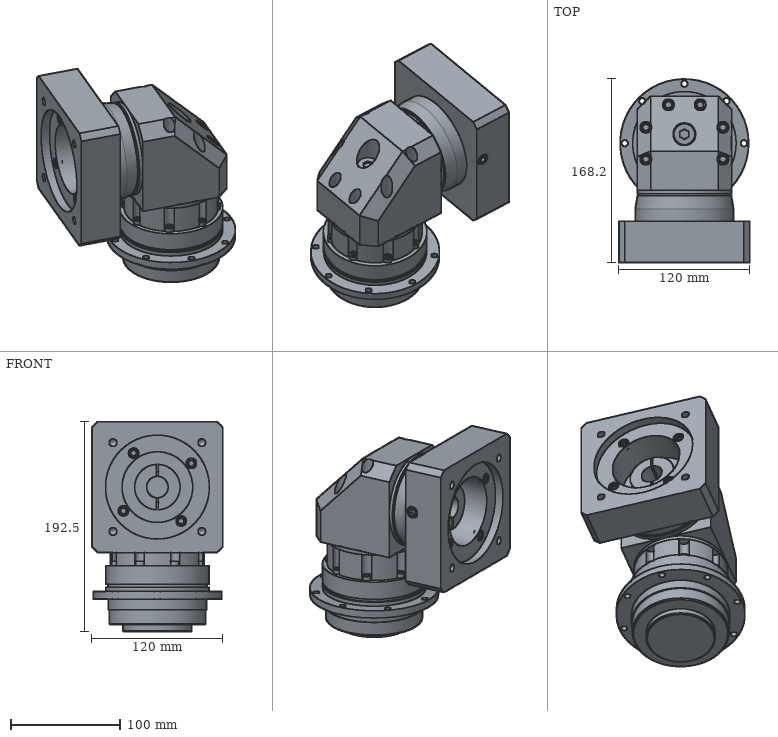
import cadquery as cq
import math


plate_width = 120.0
plate_thickness = 38.0
plate_back = 71.2
plate_corner_radius = 81.0
pilot_radius = 47.5
pilot_depth = 8.0
plate_bore_radius = 32.3
plate_front = plate_back + plate_thickness
pilot_floor = plate_front - pilot_depth

corner_hole_spacing = 81.2
corner_hole_diameter = 7.0
corner_hole_depth = 19.2
drill_point_angle = 118.0

plate_screw_circle = 38.0
plate_screw_angle = 35.0

access_plug_y = -78.3
access_plug_z = 14.2

collar_radius = 20.8
collar_length = 13.3
stem_radius = 14.0
stem_length = 15.4
hub_bore_radius = 9.8
hub_base = 3.8
slit_width = 2.0
slit_end_gap = 7.7

box_half = 43.1
barrel_radius = box_half
edge_chamfer = 12.1
bevel_size = 50.5
box_screw_circle = 38.1
box_screw_pitch = 45.0
box_screw_seat = -19.2
bevel_plug_y = 8.3
bevel_plug_seat = 10.5
neck_boss_height = 3.3
output_boss_height = 3.8

neck_back = box_half + neck_boss_height
neck_groove_width = 1.7
neck_groove_end = neck_back + neck_groove_width
neck_groove_radius = 42.5
neck_cone_end = 59.7
neck_front_radius = 45.0

slotted_height = 24.8
ring_radius = 47.4
ring_height = 17.0
groove_radius = 45.5
groove_height = 2.9
lip_height = 3.8
flange_radius = 59.0
flange_height = 7.1
spigot_radius = 45.0
spigot_height = 9.8
nose_radius = 44.3
nose_height = 13.7
nose_chamfer = 1.2
boss_radius = 31.5
boss_chamfer = 1.0
overall_height = 192.5
bottom_z = plate_width / 2 - overall_height

output_screws = 8
output_screw_pitch = 360.0 / output_screws
first_output_angle = output_screw_pitch / 2
output_screw_circle = 41.0
slot_width = 9.2

flange_holes = 8
flange_hole_circle = 54.5
flange_hole_diameter = 5.5


class ScrewSize:
    """Sizes of a socket screw sitting in a round recess."""

    def __init__(self, recess_diameter, head_diameter, hex_flats, head_height):
        self.recess_diameter = recess_diameter
        self.head_diameter = head_diameter
        self.hex_flats = hex_flats
        self.head_height = head_height


box_screw = ScrewSize(10.4, 9.0, 5.8, 5.2)
bevel_plug = ScrewSize(20.6, 19.2, 8.0, 3.8)
plate_screw = ScrewSize(9.5, 8.0, 5.0, 4.2)
access_plug = ScrewSize(10.8, 9.8, 6.4, 7.7)
output_screw = ScrewSize(slot_width, 7.9, 3.8, 4.0)
plate_screw_recess = 5.0


def socket_head(seat, size, hex_angle):
    """Screw head standing on the origin of the seat plane, with a hexagon socket half its height deep."""
    hex_corners = size.hex_flats / math.cos(math.pi / 6)
    socket_depth = size.head_height / 2
    head = seat.circle(size.head_diameter / 2).extrude(size.head_height)
    socket = (
        seat.workplane(offset=size.head_height - socket_depth)
        .transformed(rotate=(0, 0, hex_angle))
        .polygon(6, hex_corners)
        .extrude(socket_depth)
    )
    return head.cut(socket)


def add_recessed_screw(body, seat, size, recess_depth, hex_angle):
    """Sink a round recess down to the seat plane and leave the screw head standing in it."""
    recess = seat.circle(size.recess_diameter / 2).extrude(recess_depth)
    return body.cut(recess).union(socket_head(seat, size, hex_angle))


def input_plane(distance, x=0.0, z=0.0):
    """Plane facing -Y at the given distance in front of the output axis."""
    return cq.Workplane("XZ", origin=(x, -distance, z))


def on_circle(radius, degrees):
    angle = math.radians(degrees)
    return radius * math.cos(angle), radius * math.sin(angle)


def make_motor_plate():
    plate = input_plane(plate_back).rect(plate_width, plate_width).extrude(plate_thickness)
    plate = plate.intersect(input_plane(plate_back).circle(plate_corner_radius).extrude(plate_thickness))
    plate = plate.cut(input_plane(pilot_floor).circle(pilot_radius).extrude(pilot_depth))
    plate = plate.cut(input_plane(plate_back).circle(plate_bore_radius).extrude(plate_thickness))

    hole_radius = corner_hole_diameter / 2
    point_depth = hole_radius / math.tan(math.radians(drill_point_angle / 2))
    drill = (
        cq.Workplane("XY")
        .moveTo(0, -plate_front)
        .lineTo(hole_radius, -plate_front)
        .lineTo(hole_radius, -plate_front + corner_hole_depth)
        .lineTo(0, -plate_front + corner_hole_depth + point_depth)
        .close()
        .revolve(360, (0, 0, 0), (0, 1, 0))
    )
    for side_x in (-1, 1):
        for side_z in (-1, 1):
            offset = corner_hole_spacing / 2
            plate = plate.cut(drill.translate((side_x * offset, 0, side_z * offset)))

    for quarter in range(4):
        turn = quarter * 90
        x, z = on_circle(plate_screw_circle, plate_screw_angle + turn)
        seat = input_plane(pilot_floor - plate_screw_recess, x, z)
        plate = add_recessed_screw(plate, seat, plate_screw, plate_screw_recess, turn)

    plug_seat_x = -plate_width / 2 + access_plug.head_height
    seat = cq.Workplane(
        cq.Plane(origin=(plug_seat_x, access_plug_y, access_plug_z), xDir=(0, 0, 1), normal=(-1, 0, 0))
    )
    return add_recessed_screw(plate, seat, access_plug, access_plug.head_height, 0)


def make_clamp_hub():
    hub_length = stem_length + collar_length
    stem_end = plate_back - stem_length
    hub = input_plane(plate_back).circle(collar_radius).extrude(collar_length)
    hub = hub.union(input_plane(stem_end).circle(stem_radius).extrude(stem_length))
    bore = input_plane(stem_end + hub_base).circle(hub_bore_radius).extrude(hub_length - hub_base)
    slit = (
        input_plane(stem_end + slit_end_gap)
        .rect(slit_width, 2 * collar_radius)
        .extrude(hub_length - slit_end_gap)
    )
    return hub.cut(bore).cut(slit)


def make_input_neck():
    neck = (
        cq.Workplane("XY")
        .moveTo(0, -neck_back)
        .lineTo(neck_groove_radius, -neck_back)
        .lineTo(neck_groove_radius, -neck_groove_end)
        .lineTo(barrel_radius, -neck_groove_end)
        .lineTo(neck_front_radius, -neck_cone_end)
        .lineTo(neck_front_radius, -plate_back)
        .lineTo(0, -plate_back)
        .close()
        .revolve(360, (0, 0, 0), (0, 1, 0))
    )
    stem_socket = input_plane(plate_back - stem_length).circle(stem_radius).extrude(stem_length)
    return neck.cut(stem_socket)


def make_angle_housing():
    bevel_start = box_half - bevel_size
    box = (
        cq.Workplane("YZ", origin=(-box_half, 0, 0))
        .moveTo(-box_half, -box_half)
        .lineTo(box_half, -box_half)
        .lineTo(box_half, bevel_start)
        .lineTo(bevel_start, box_half)
        .lineTo(-box_half, box_half)
        .close()
        .extrude(2 * box_half)
    )
    outer_edges = box.faces("<X or >X").edges("not (<Y or <Z)")
    box = outer_edges.chamfer(edge_chamfer)

    box = box.union(input_plane(box_half).circle(barrel_radius).extrude(neck_boss_height))
    output_boss = cq.Workplane("XY", origin=(0, 0, -box_half)).circle(barrel_radius)
    box = box.union(output_boss.extrude(-output_boss_height))

    screw_reach = box_half - box_screw_seat
    for index in range(-1, 5):
        x, y = on_circle(box_screw_circle, box_screw_pitch / 2 + index * box_screw_pitch)
        seat = cq.Workplane("XY", origin=(x, y, box_screw_seat))
        box = add_recessed_screw(box, seat, box_screw, screw_reach, 90)

    seat = cq.Workplane("XY", origin=(0, bevel_plug_y, bevel_plug_seat))
    return add_recessed_screw(box, seat, bevel_plug, box_half - bevel_plug_seat, 90)


def make_output_housing():
    barrel_top = -box_half - output_boss_height
    ring_top = barrel_top - slotted_height
    groove_top = ring_top - ring_height
    lip_top = groove_top - groove_height
    flange_top = lip_top - lip_height
    spigot_top = flange_top - flange_height
    nose_top = spigot_top - spigot_height
    boss_top = nose_top - nose_height

    def disc(radius, top, bottom):
        return cq.Workplane("XY", origin=(0, 0, bottom)).circle(radius).extrude(top - bottom)

    housing = disc(barrel_radius, barrel_top, ring_top)

    slot_reach = barrel_radius - output_screw_circle + slot_width / 2
    slot_plane = cq.Workplane("XY", origin=(output_screw_circle, 0, ring_top))
    slot = slot_plane.circle(slot_width / 2).extrude(slotted_height)
    mouth = slot_plane.center(slot_reach / 2, 0).rect(slot_reach, slot_width).extrude(slotted_height)
    slot = slot.union(mouth)
    for index in range(output_screws):
        angle = first_output_angle + index * output_screw_pitch
        housing = housing.cut(slot.rotate((0, 0, 0), (0, 0, 1), angle))

    housing = housing.union(disc(ring_radius, ring_top, groove_top))
    housing = housing.union(disc(groove_radius, groove_top, lip_top))
    housing = housing.union(disc(ring_radius, lip_top, flange_top))
    housing = housing.union(disc(flange_radius, flange_top, spigot_top))
    housing = housing.union(disc(spigot_radius, spigot_top, nose_top))
    housing = housing.union(disc(nose_radius, nose_top, boss_top).faces("<Z").chamfer(nose_chamfer))
    housing = housing.union(disc(boss_radius, boss_top, bottom_z).faces("<Z").chamfer(boss_chamfer))

    for index in range(output_screws):
        x, y = on_circle(output_screw_circle, first_output_angle + index * output_screw_pitch)
        seat = cq.Workplane("XY", origin=(x, y, ring_top))
        housing = housing.union(socket_head(seat, output_screw, 0))

    holes = (
        cq.Workplane("XY", origin=(0, 0, spigot_top))
        .polarArray(flange_hole_circle, 0, 360, flange_holes)
        .circle(flange_hole_diameter / 2)
        .extrude(flange_height)
    )
    return housing.cut(holes)


motor_plate = make_motor_plate()
clamp_hub = make_clamp_hub()
input_neck = make_input_neck()
angle_housing = make_angle_housing()
output_housing = make_output_housing()

result = cq.Compound.makeCompound(
    [
        motor_plate.val(),
        clamp_hub.val(),
        input_neck.val(),
        angle_housing.val(),
        output_housing.val(),
    ]
)